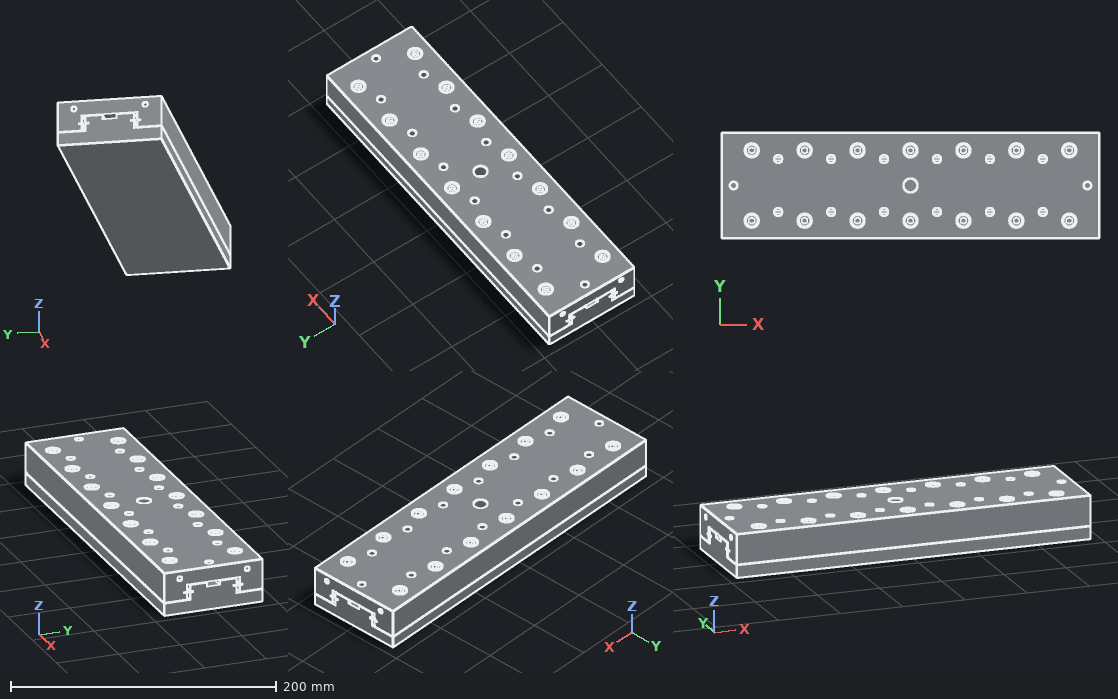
import cadquery as cq
import math

LENGTH = 285.0
WIDTH = 80.0
HEIGHT = 35.0
EDGE_CHAMFER = 0.5

SHOULDER_Z = 10.3
FIT_GAP = 0.9
TABLE_BOTTOM_Z = SHOULDER_Z + FIT_GAP
CAVITY_TOP_Z = 23.0
RAIL_TOP_Z = CAVITY_TOP_Z - FIT_GAP
PLATE_THICKNESS = HEIGHT - CAVITY_TOP_Z

RACEWAY_Y = 20.0
SIDE_GAP = 2.0
CAVITY_HALF_WIDTH = RACEWAY_Y + SIDE_GAP / 2
RAIL_HALF_WIDTH = RACEWAY_Y - SIDE_GAP / 2
RACEWAY_Z = (SHOULDER_Z + CAVITY_TOP_Z) / 2
GROOVE_HEIGHT = 2.5
RELIEF_HEIGHT = 0.9
RELIEF_REACH = 3.7

CHANNEL_WIDTH = 10.0
CHANNEL_DEPTH = 3.0

SCREW_COUNT = 7
SCREW_PITCH = 40.0
SCREW_Y = 26.5
HEAD_DIAMETER = 8.5
HEAD_SINK = 0.5
SOCKET_ACROSS_FLATS = 4.3
SOCKET_DEPTH = 2.8
COUNTERBORE_DIAMETER = 10.0
COUNTERBORE_DEPTH = 5.7
RIM_CHAMFER = EDGE_CHAMFER

TAPPED_COUNT = SCREW_COUNT - 1
TAPPED_Y = RACEWAY_Y
TAPPED_DIAMETER = 5.5

CENTER_BORE_DIAMETER = 10.0
END_HOLE_INSET = 9.0
END_HOLE_DIAMETER = 5.0
END_HOLE_DEPTH = 8.5
FACE_HOLE_Y = 27.5
FACE_HOLE_Z = 28.8
FACE_HOLE_DIAMETER = 3.0
FACE_HOLE_DEPTH = 8.5


def long_box(half_width, z_low, z_high):
    """Full-length box centred on the X axis."""
    block = cq.Workplane("XY").box(LENGTH, 2 * half_width, z_high - z_low)
    return block.translate((0, 0, (z_low + z_high) / 2))


def row_positions(count):
    """X positions of a centred row at the screw pitch."""
    return [(i - (count - 1) / 2) * SCREW_PITCH for i in range(count)]


def raceway_cut(wall_y, outward):
    """V groove with a relief slot, cut from the wall at wall_y towards outward (+1 or -1)."""
    groove_depth = (GROOVE_HEIGHT - RELIEF_HEIGHT) / 2
    root_y = wall_y + outward * groove_depth
    relief_y = RACEWAY_Y + outward * RELIEF_REACH
    groove_half = GROOVE_HEIGHT / 2
    relief_half = RELIEF_HEIGHT / 2
    profile = [
        (wall_y, RACEWAY_Z - groove_half),
        (root_y, RACEWAY_Z - relief_half),
        (relief_y, RACEWAY_Z - relief_half),
        (relief_y, RACEWAY_Z + relief_half),
        (root_y, RACEWAY_Z + relief_half),
        (wall_y, RACEWAY_Z + groove_half),
    ]
    cut = cq.Workplane("YZ").polyline(profile).close().extrude(LENGTH / 2, both=True)
    return cut.union(cut.mirror("XZ"))


def down_from_top(x, y, sink=0.0):
    """Plane facing down into the table, at the given distance below its top."""
    return cq.Plane(origin=(x, y, HEIGHT - sink), xDir=(1, 0, 0), normal=(0, 0, -1))


def rimmed_hole(plane, diameter, depth):
    """Hole cutter along the plane normal, from its origin, with a 45 degree rim."""
    radius = diameter / 2
    cone = cq.Solid.makeCone(radius + RIM_CHAMFER, radius, RIM_CHAMFER, plane.origin, plane.zDir)
    return cq.Workplane(plane).circle(radius).extrude(depth).union(cq.Workplane(cone))


def screw_recess(x, y):
    """Counterbore cutter that leaves the socket screw head standing inside it."""
    bore = rimmed_hole(down_from_top(x, y), COUNTERBORE_DIAMETER, COUNTERBORE_DEPTH)
    head_plane = down_from_top(x, y, HEAD_SINK)
    head = cq.Workplane(head_plane).circle(HEAD_DIAMETER / 2).extrude(COUNTERBORE_DEPTH - HEAD_SINK)
    across_corners = SOCKET_ACROSS_FLATS / math.cos(math.pi / 6)
    socket_plane = cq.Workplane(head_plane).transformed(rotate=(0, 0, 90))
    socket = socket_plane.polygon(6, across_corners).extrude(SOCKET_DEPTH)
    return bore.cut(head).union(socket)


def break_edges(body, outer_face):
    """Chamfer the outline of the bottom (<Z) or top (>Z) face and the upright edges at both ends."""
    outline = body.faces(outer_face).edges().vals()
    upright = body.edges("|Z").vals()
    return body.newObject(outline + upright).chamfer(EDGE_CHAMFER)


def make_base():
    """Lower body: a plate with a grooved rail standing along its middle."""
    base = long_box(WIDTH / 2, 0, SHOULDER_Z)
    base = base.union(long_box(RAIL_HALF_WIDTH, 0, RAIL_TOP_Z))
    base = base.cut(long_box(CHANNEL_WIDTH / 2, RAIL_TOP_Z - CHANNEL_DEPTH, RAIL_TOP_Z))
    base = break_edges(base, "<Z")
    return base.cut(raceway_cut(RAIL_HALF_WIDTH, -1))


def make_table():
    """Upper body: a plate whose two legs straddle the rail."""
    table = long_box(WIDTH / 2, TABLE_BOTTOM_Z, HEIGHT)
    table = table.cut(long_box(CAVITY_HALF_WIDTH, TABLE_BOTTOM_Z, CAVITY_TOP_Z))
    table = break_edges(table, ">Z")
    table = table.cut(raceway_cut(CAVITY_HALF_WIDTH, 1))
    for y in (-SCREW_Y, SCREW_Y):
        for x in row_positions(SCREW_COUNT):
            table = table.cut(screw_recess(x, y))
    for y in (-TAPPED_Y, TAPPED_Y):
        for x in row_positions(TAPPED_COUNT):
            table = table.cut(rimmed_hole(down_from_top(x, y), TAPPED_DIAMETER, PLATE_THICKNESS))
    table = table.cut(rimmed_hole(down_from_top(0, 0), CENTER_BORE_DIAMETER, PLATE_THICKNESS))
    for side in (-1, 1):
        end_x = side * LENGTH / 2
        end_hole_plane = down_from_top(end_x - side * END_HOLE_INSET, 0)
        table = table.cut(rimmed_hole(end_hole_plane, END_HOLE_DIAMETER, END_HOLE_DEPTH))
        for y in (-FACE_HOLE_Y, FACE_HOLE_Y):
            face = cq.Plane(origin=(end_x, y, FACE_HOLE_Z), xDir=(0, 1, 0), normal=(-side, 0, 0))
            table = table.cut(rimmed_hole(face, FACE_HOLE_DIAMETER, FACE_HOLE_DEPTH))
    return table


base = make_base()
table = make_table()
result = cq.Compound.makeCompound([base.val(), table.val()])